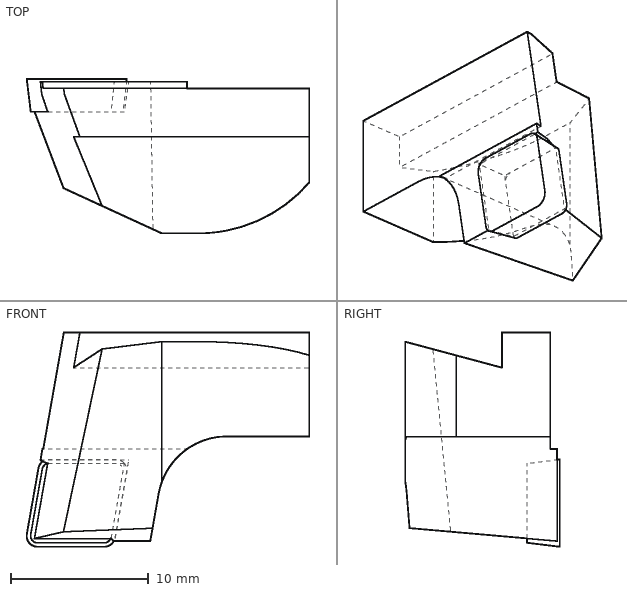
import cadquery as cq
import math


def tan_deg(angle):
    return math.tan(math.radians(angle))



inscribed_circle = 6.35
insert_thickness = 2.38
corner_radius = 0.8
relief_angle = 7
lead_angle = 10

edge_length = inscribed_circle / math.cos(math.radians(lead_angle))
edge_lean = inscribed_circle * tan_deg(lead_angle)
tip_setback = corner_radius * (1 / tan_deg((90 - lead_angle) / 2) - 1)

holder_right = 20.5
holder_top = 15.54
back_y = -0.68
front_y = -11.2

pad_y = -0.2
pad_top = 7.1

rail_front_y = -4.2
shoulder_z = 13.0
shoulder_slope = 15

underside_z = 0.4
underside_slope = 5

flat_left = 9.8
flat_right = 12.45
chamfer_angle = 24.7
round_radius = 10.6

nose_x = 2.69
land_end_y = -1.12
clearance_angle = 20

shank_bottom = 8.0
blend_radius = 5.0
nose_right = 8.9

margin = 5


def rhombus():
    """Rhombus of the rake face, with sharp corners."""
    corners = [
        (-tip_setback, 0),
        (edge_length - tip_setback, 0),
        (edge_length + edge_lean - tip_setback, inscribed_circle),
        (edge_lean - tip_setback, inscribed_circle),
    ]
    return cq.Sketch().polygon(corners + corners[:1])


def tapered_plate(outline):
    """Plate running from the rake face toward -Y, narrowing at the relief angle."""
    return cq.Workplane("XZ").placeSketch(outline).extrude(insert_thickness, taper=relief_angle)


def make_insert():
    return tapered_plate(rhombus().vertices().fillet(corner_radius))


def cross_section_block():
    """Y-Z section of the holder, run along X."""
    front_rise = shoulder_z + (rail_front_y - front_y) * tan_deg(shoulder_slope)
    section = [
        (pad_y, underside_z - pad_y * tan_deg(underside_slope)),
        (pad_y, pad_top),
        (back_y, pad_top),
        (back_y, holder_top),
        (rail_front_y, holder_top),
        (rail_front_y, shoulder_z),
        (front_y, front_rise),
        (front_y, underside_z - front_y * tan_deg(underside_slope)),
    ]
    return cq.Workplane("YZ").polyline(section).close().extrude(holder_right)


def plan_block():
    """X-Y outline of the front side, run along Z."""
    chamfer_y = front_y + flat_left * tan_deg(chamfer_angle)
    center_y = front_y + round_radius

    def point_on_round(angle):
        return (
            flat_right + round_radius * math.sin(angle),
            center_y - round_radius * math.cos(angle),
        )

    end_angle = math.asin((holder_right - flat_right) / round_radius)
    return (
        cq.Workplane("XY")
        .moveTo(0, 0)
        .lineTo(0, chamfer_y)
        .lineTo(flat_left, front_y)
        .lineTo(flat_right, front_y)
        .threePointArc(point_on_round(end_angle / 2), point_on_round(end_angle))
        .lineTo(holder_right, 0)
        .close()
        .extrude(holder_top)
    )


def leaning_nose_block():
    """Plan of the two nose facets, swept along the lead angle."""
    full_lean = holder_top * tan_deg(lead_angle)
    land_slope = tan_deg(relief_angle) / math.cos(math.radians(lead_angle))
    back_x = nose_x - full_lean + back_y * land_slope
    land_x = back_x - land_end_y * land_slope
    front_x = land_x + (land_end_y - front_y) * tan_deg(clearance_angle)
    outline = [
        cq.Vector(back_x, 0, 0),
        cq.Vector(land_x, land_end_y, 0),
        cq.Vector(front_x, front_y, 0),
        cq.Vector(holder_right + margin, front_y, 0),
        cq.Vector(holder_right + margin, 0, 0),
    ]
    wire = cq.Wire.makePolygon(outline, close=True)
    return cq.Workplane(cq.Solid.extrudeLinear(wire, [], cq.Vector(full_lean, 0, holder_top)))


def under_shank_cut():
    """Space below the shank, blended into the leaning right side of the nose."""
    corner_x = nose_right + shank_bottom * tan_deg(lead_angle)
    blend_x = corner_x + blend_radius * tan_deg((90 - lead_angle) / 2)
    blend_z = shank_bottom - blend_radius

    def point_on_blend(angle):
        return (
            blend_x - blend_radius * math.cos(math.radians(angle)),
            blend_z + blend_radius * math.sin(math.radians(angle)),
        )

    return (
        cq.Workplane("XZ")
        .moveTo(nose_right, 0)
        .lineTo(*point_on_blend(lead_angle))
        .threePointArc(point_on_blend((90 + lead_angle) / 2), point_on_blend(90))
        .lineTo(holder_right + margin, shank_bottom)
        .lineTo(holder_right + margin, 0)
        .close()
        .extrude(-front_y + margin)
    )


def make_holder():
    holder = cross_section_block().intersect(plan_block()).intersect(leaning_nose_block())
    holder = holder.cut(under_shank_cut())
    insert_seat = tapered_plate(rhombus())
    return holder.cut(insert_seat)


insert = make_insert()
holder = make_holder()

result = cq.Compound.makeCompound([holder.val(), insert.val()])